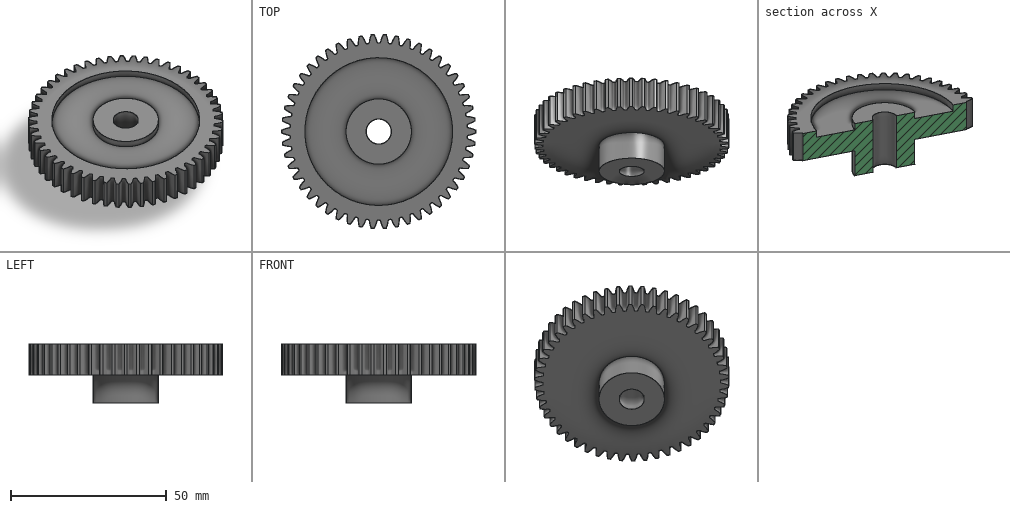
import cadquery as cq
import math

MODULE = 1.2
TOOTH_COUNT = 50
PRESSURE_ANGLE = math.radians(20.0)
ADDENDUM = MODULE
DEDENDUM = 1.25 * MODULE
ROOT_FILLET = 0.43

FACE_WIDTH = 10.0
HUB_PROJECTION = 9.0
RECESS_DEPTH = 2.25

HUB_DIAMETER = 21.0
BORE_DIAMETER = 8.0
RECESS_DIAMETER = 47.5

PITCH_RADIUS = MODULE * TOOTH_COUNT / 2
TIP_RADIUS = PITCH_RADIUS + ADDENDUM
ROOT_RADIUS = PITCH_RADIUS - DEDENDUM
BASE_RADIUS = PITCH_RADIUS * math.cos(PRESSURE_ANGLE)
TOOTH_PITCH_ANGLE = 360.0 / TOOTH_COUNT

CUTTER_OVERRUN = 0.4
FLANK_POINTS = 7


def polar_point(radius, angle):
    return (radius * math.cos(angle), radius * math.sin(angle))


def involute_angle(radius):
    """Polar angle of the involute, from its start on the base circle to the given radius."""
    pressure_angle = math.acos(BASE_RADIUS / radius)
    return math.tan(pressure_angle) - pressure_angle


def space_half_angle(radius):
    """Half the angle of the space between two neighbouring teeth at the given radius."""
    half_angle_at_pitch = math.pi / (2 * TOOTH_COUNT)
    return half_angle_at_pitch + involute_angle(radius) - involute_angle(PITCH_RADIUS)


def flank(side):
    """Points of one involute flank from root outwards; side is +1 or -1 about the X axis."""
    outer_radius = TIP_RADIUS + CUTTER_OVERRUN
    step = (outer_radius - ROOT_RADIUS) / (FLANK_POINTS - 1)
    radii = [ROOT_RADIUS + i * step for i in range(FLANK_POINTS)]
    return [polar_point(r, side * space_half_angle(r)) for r in radii]


def tooth_space():
    """Solid that fills one tooth space, centred on the X axis, with rounded root corners."""
    lower = flank(-1)
    upper = flank(1)
    cutter = (
        cq.Workplane("XY")
        .moveTo(*lower[0])
        .spline(lower[1:], includeCurrent=True)
        .lineTo(*upper[-1])
        .spline(upper[-2::-1], includeCurrent=True)
        .threePointArc((ROOT_RADIUS, 0), lower[0])
        .close()
        .extrude(FACE_WIDTH)
    )
    return cutter.edges("|Z").edges("<X").fillet(ROOT_FILLET)


def toothed_disc():
    """Rim and web as one disc, with a tooth centred on the X axis."""
    space = tooth_space().val()
    spaces = []
    for i in range(TOOTH_COUNT):
        angle = (i + 0.5) * TOOTH_PITCH_ANGLE
        spaces.append(space.rotate(cq.Vector(0, 0, 0), cq.Vector(0, 0, 1), angle))
    blank = cq.Workplane("XY").circle(TIP_RADIUS).extrude(FACE_WIDTH)
    return blank.cut(cq.Workplane(cq.Compound.makeCompound(spaces)))


def add_hub(body):
    """Cylindrical hub below the disc."""
    hub = cq.Workplane("XY").circle(HUB_DIAMETER / 2).extrude(-HUB_PROJECTION)
    return body.union(hub)


def cut_recess(body):
    """Ring-shaped recess in the top face, leaving the hub standing flush with the rim."""
    recess = (
        cq.Workplane("XY", origin=(0, 0, FACE_WIDTH))
        .circle(RECESS_DIAMETER / 2)
        .circle(HUB_DIAMETER / 2)
        .extrude(-RECESS_DEPTH)
    )
    return body.cut(recess)


def cut_bore(body):
    """Shaft bore through the disc and hub."""
    bore = (
        cq.Workplane("XY", origin=(0, 0, -HUB_PROJECTION))
        .circle(BORE_DIAMETER / 2)
        .extrude(HUB_PROJECTION + FACE_WIDTH)
    )
    return body.cut(bore)


result = cut_bore(cut_recess(add_hub(toothed_disc())))